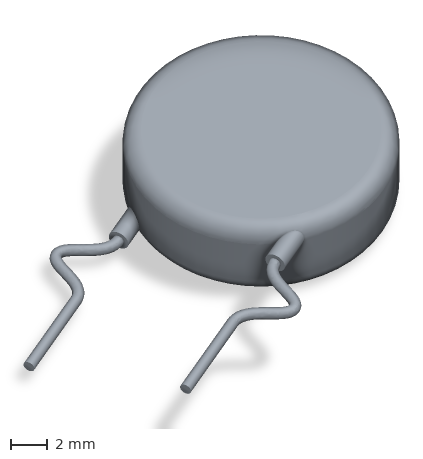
import cadquery as cq

disc_diameter = 15.02
disc_height = 5.0
rim_fillet = 1.0

lead_diameter = 0.66
lead_x = 4.8
lead_edge_height = 0.97
overall_length = 25.5
overall_width = 15.2

sleeve_diameter = 1.2

kink_swing_length = 2.5
kink_end_handle = 1.48
kink_peak_handle = 0.92

disc_radius = disc_diameter / 2
lead_start_y = -disc_radius
kink_peak_y = lead_start_y - kink_swing_length
kink_end_y = kink_peak_y - kink_swing_length
lead_tip_y = disc_radius - overall_length
kink_peak_x = (overall_width - lead_diameter) / 2

lead_positions = [
    (-1, lead_edge_height),
    (1, disc_height - lead_edge_height),
]


def make_sleeve(side, height):
    """Cylinder from the middle of the disc to the plane touching its front."""
    return (
        cq.Workplane("XZ", origin=(side * lead_x, 0, height))
        .circle(sleeve_diameter / 2)
        .extrude(disc_radius)
    )


def make_housing():
    """Disc with rounded rims, joined to its two sleeves."""
    housing = (
        cq.Workplane("XY")
        .circle(disc_radius)
        .extrude(disc_height)
        .edges()
        .fillet(rim_fillet)
    )
    for side, height in lead_positions:
        housing = housing.union(make_sleeve(side, height))
    return housing


def make_lead(side, height):
    """Round wire that swings outward and back, then runs straight to its tip."""
    straight_x = side * lead_x
    peak_x = side * kink_peak_x
    path = (
        cq.Workplane("XY", origin=(0, 0, height))
        .moveTo(straight_x, lead_start_y)
        .bezier([
            (straight_x, lead_start_y),
            (straight_x, lead_start_y - kink_end_handle),
            (peak_x, kink_peak_y + kink_peak_handle),
            (peak_x, kink_peak_y),
        ])
        .bezier([
            (peak_x, kink_peak_y),
            (peak_x, kink_peak_y - kink_peak_handle),
            (straight_x, kink_end_y + kink_end_handle),
            (straight_x, kink_end_y),
        ])
        .lineTo(straight_x, lead_tip_y)
    )
    return (
        cq.Workplane("XZ", origin=(straight_x, lead_start_y, height))
        .circle(lead_diameter / 2)
        .sweep(path)
    )


housing = make_housing()
leads = [make_lead(side, height) for side, height in lead_positions]

result = cq.Compound.makeCompound([housing.solids().val(), *[lead.val() for lead in leads]])